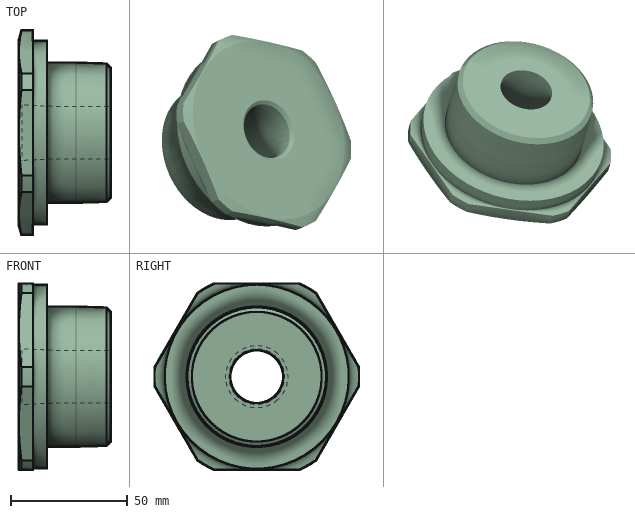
import cadquery as cq
import math

hex_thickness = 6.1
collar_end = 12.2
taper_start = 24.6
overall_length = 39.5
tip_chamfer = 1.9

across_flats = 80.0
corner_diameter = 88.0
face_circle_diameter = 79.5
head_chamfer_angle = 15.0

collar_diameter = 79.0
spigot_diameter = 60.325
spigot_taper = 1.0 / 16.0

mouth_diameter = 26.7
bore_diameter = 23.9
through_diameter = 22.6
bore_taper_length = 15.0


def revolve_about_x(points):
    """Revolve a closed (x, radius) outline about the X axis."""
    return cq.Workplane("XZ").polyline(points).close().revolve(360, (0, 0, 0), (1, 0, 0))


def make_head():
    """Hexagon with flats facing +Z and -Z, its corners turned and chamfered."""
    hexagon = cq.Workplane("YZ").polygon(6, across_flats, circumscribed=True).extrude(hex_thickness)
    hexagon = hexagon.rotate((0, 0, 0), (1, 0, 0), 90)
    corner_radius = corner_diameter / 2
    face_radius = face_circle_diameter / 2
    chamfer_depth = (corner_radius - face_radius) * math.tan(math.radians(head_chamfer_angle))
    turned_blank = revolve_about_x([
        (0, 0),
        (0, face_radius),
        (chamfer_depth, corner_radius),
        (hex_thickness, corner_radius),
        (hex_thickness, 0),
    ])
    return hexagon.intersect(turned_blank)


def make_collar_and_spigot():
    """Round collar behind the head, then a spigot whose end tapers to a chamfered tip."""
    spigot_radius = spigot_diameter / 2
    tip_chamfer_start = overall_length - tip_chamfer
    taper_end_radius = spigot_radius - (tip_chamfer_start - taper_start) * spigot_taper / 2
    return revolve_about_x([
        (hex_thickness, 0),
        (hex_thickness, collar_diameter / 2),
        (collar_end, collar_diameter / 2),
        (collar_end, spigot_radius),
        (taper_start, spigot_radius),
        (tip_chamfer_start, taper_end_radius),
        (overall_length, taper_end_radius - tip_chamfer),
        (overall_length, 0),
    ])


def make_bore():
    """Chamfered mouth, a tapered length and a plain through hole."""
    mouth_radius = mouth_diameter / 2
    bore_radius = bore_diameter / 2
    mouth_depth = mouth_radius - bore_radius
    taper_end = mouth_depth + bore_taper_length
    through_radius = through_diameter / 2
    return revolve_about_x([
        (0, 0),
        (0, mouth_radius),
        (mouth_depth, bore_radius),
        (taper_end, through_radius),
        (overall_length, through_radius),
        (overall_length, 0),
    ])


result = make_head().union(make_collar_and_spigot()).cut(make_bore())